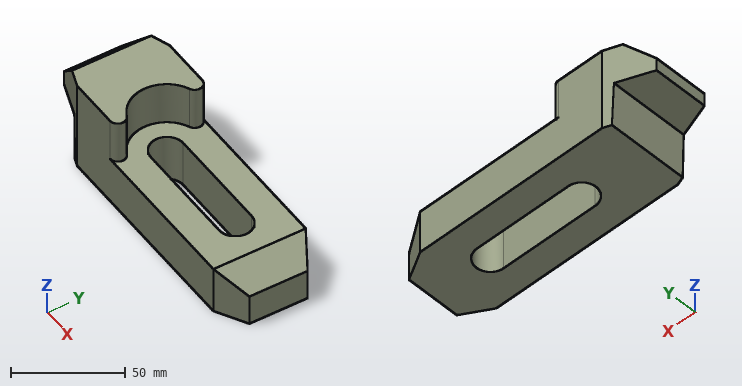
import cadquery as cq
import math

length = 150.0
width = 48.0
height = 48.0
shelf_height = 25.2
end_width = 30.3

nose_bottom = 25.2
nose_top = 32.7
nose_slope_end = 15.2
nose_taper_length = 24.6
undercut_top_x = 19.2
undercut_top_z = 25.6
undercut_foot_x = 20.1

tail_taper_length = 15.3
tail_height = 16.4

slot_start = 51.5
slot_end = 123.6
slot_width = 16.8

relief_radius = 17.7
relief_center_x = 59.7
horn_radius = 4.0

half_width = width / 2
half_end = end_width / 2


def side_body():
    """Side profile, with the head still a plain block above the shelf."""
    return (
        cq.Workplane("XZ")
        .moveTo(undercut_foot_x, 0)
        .lineTo(length, 0)
        .lineTo(length, tail_height)
        .lineTo(length - tail_taper_length, shelf_height)
        .lineTo(relief_center_x, shelf_height)
        .lineTo(relief_center_x, height)
        .lineTo(nose_slope_end, height)
        .lineTo(0, nose_top)
        .lineTo(0, nose_bottom)
        .lineTo(undercut_top_x, undercut_top_z)
        .close()
        .extrude(half_width, both=True)
    )


def tapered_outline():
    """Full-height prism that narrows towards both ends."""
    return (
        cq.Workplane("XY")
        .polyline([
            (0, -half_end),
            (nose_taper_length, -half_width),
            (length - tail_taper_length, -half_width),
            (length, -half_end),
            (length, half_end),
            (length - tail_taper_length, half_width),
            (nose_taper_length, half_width),
            (0, half_end),
        ])
        .close()
        .extrude(height)
    )


def head_cutter():
    """Space behind the head: horns tangent to the sides and to the relief arc."""
    horn_y = half_width - horn_radius
    center_distance = relief_radius + horn_radius
    horn_x = relief_center_x - math.sqrt(center_distance**2 - horn_y**2)

    along = horn_radius / center_distance
    touch_x = horn_x + along * (relief_center_x - horn_x)
    touch_y = horn_y * (1 - along)

    return (
        cq.Workplane("XY", origin=(0, 0, shelf_height))
        .moveTo(length, -half_width)
        .lineTo(horn_x, -half_width)
        .threePointArc((horn_x + horn_radius, -horn_y), (touch_x, -touch_y))
        .threePointArc((relief_center_x - relief_radius, 0), (touch_x, touch_y))
        .threePointArc((horn_x + horn_radius, horn_y), (horn_x, half_width))
        .lineTo(length, half_width)
        .close()
        .extrude(height - shelf_height)
    )


def slot_cutter():
    return (
        cq.Workplane("XY")
        .center((slot_start + slot_end) / 2, 0)
        .slot2D(slot_end - slot_start, slot_width)
        .extrude(height)
    )


body = side_body().intersect(tapered_outline())
result = body.cut(head_cutter()).cut(slot_cutter())